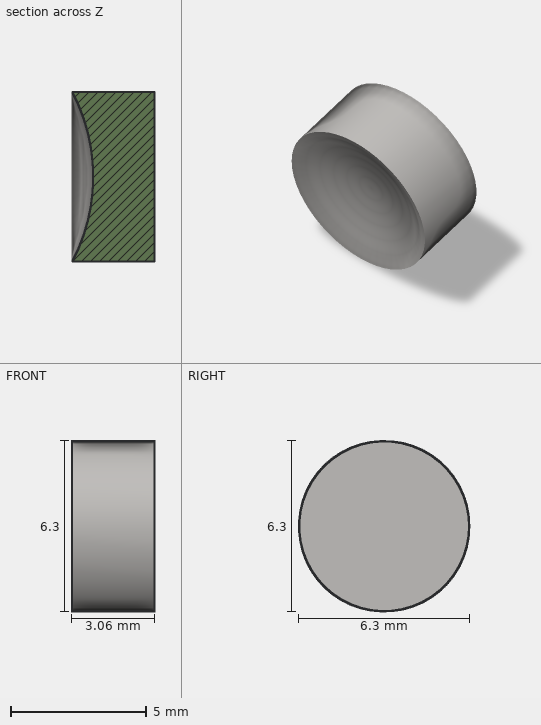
import cadquery as cq

diameter = 6.3
edge_thickness = 3.06
concave_depth = 0.78

rim_radius = diameter / 2
sphere_radius = (rim_radius**2 + concave_depth**2) / (2 * concave_depth)

mid_radius = rim_radius / 2
mid_depth = concave_depth - sphere_radius + (sphere_radius**2 - mid_radius**2) ** 0.5

half_section = (
    cq.Workplane("XY")
    .moveTo(concave_depth, 0)
    .threePointArc((mid_depth, mid_radius), (0, rim_radius))
    .lineTo(edge_thickness, rim_radius)
    .lineTo(edge_thickness, 0)
    .close()
)

result = half_section.revolve(360, (0, 0, 0), (1, 0, 0))